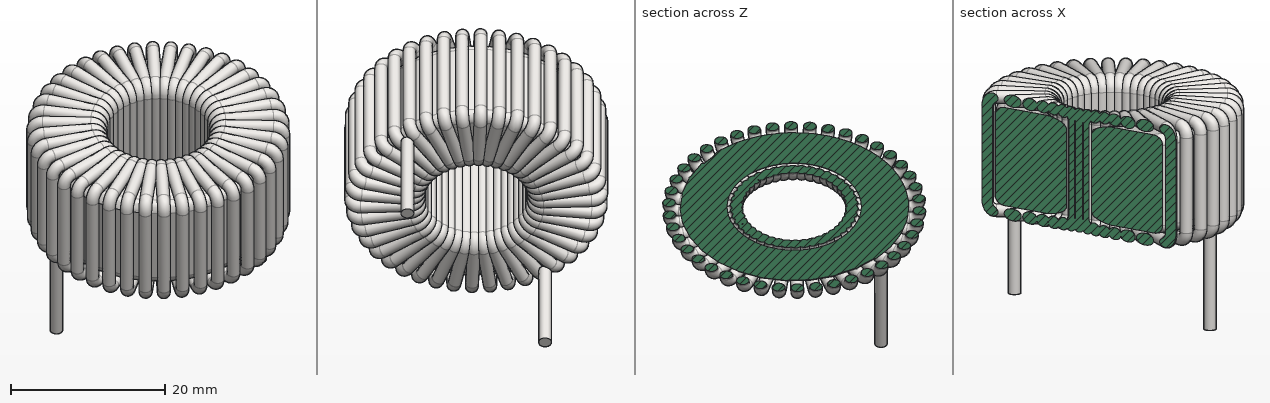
import math

import cadquery as cq

wire_diameter = 1.68
turn_count = 42
winding_outer_radius = 34.19 / 2
winding_inner_radius = 6.65
winding_height = 17.08
bend_radius = 0.75 * wire_diameter
core_outer_radius = 30.48 / 2
core_edge_radius = 1.25
core_wire_overlap = 0.01
seam_angle = 180
lead_spacing = 30.0
lead_drop = 12.6
lead_overlap = 0.36

wire_radius = wire_diameter / 2
turn_angle = 360 / turn_count
turn_outer_center = winding_outer_radius - wire_radius
turn_inner_center = winding_inner_radius + wire_radius
core_clearance = winding_outer_radius - wire_diameter - core_outer_radius
core_inner_radius = winding_inner_radius + wire_diameter - core_wire_overlap
core_bottom = wire_diameter + core_clearance
core_height = winding_height - 2 * core_bottom


def make_core():
    """Ring with a rounded rectangular cross-section."""
    ring = (
        cq.Workplane("XY", origin=(0, 0, core_bottom))
        .circle(core_outer_radius)
        .circle(core_inner_radius)
        .extrude(core_height)
    )
    return ring.edges().fillet(core_edge_radius)


def make_sector():
    """Wedge on the +X side holding the share of one turn, bounded midway to its neighbours."""
    reach = 2 * winding_outer_radius
    half_width = reach * math.tan(math.radians(turn_angle / 2))
    return (
        cq.Workplane("XY")
        .polyline([(0, 0), (reach, -half_width), (reach, half_width)])
        .close()
        .extrude(winding_height)
    )


def make_turn():
    """One closed loop of round wire on the +X side, cut where it runs into its neighbours."""
    low = wire_radius
    high = winding_height - wire_radius
    inner = turn_inner_center
    outer = turn_outer_center
    corners = [(inner, low), (outer, low), (outer, high), (inner, high)]
    outline = cq.Wire.makePolygon([cq.Vector(x, 0, z) for x, z in corners], close=True)
    path = outline.fillet2D(bend_radius, outline.Vertices())
    loop = (
        cq.Workplane("XY", origin=(outer, 0, winding_height / 2))
        .transformed(rotate=(0, 0, seam_angle))
        .circle(wire_radius)
        .sweep(cq.Workplane(path))
    )
    return loop.intersect(make_sector())


def make_winding():
    """Ring of equal turns, joined where neighbours meet near the bore."""
    turn = make_turn().val()
    turns = [turn.rotate((0, 0, 0), (0, 0, 1), i * turn_angle) for i in range(turn_count)]
    return cq.Workplane(turns[0].fuse(*turns[1:]))


def make_lead(side):
    """Straight pin on the Y axis, reaching up between two turns; side is -1 or 1."""
    return (
        cq.Workplane("XY", origin=(0, side * lead_spacing / 2, -lead_drop))
        .circle(wire_radius)
        .extrude(lead_drop + lead_overlap)
    )


result = make_winding().union(make_core())
for lead_side in (-1, 1):
    result = result.union(make_lead(lead_side))